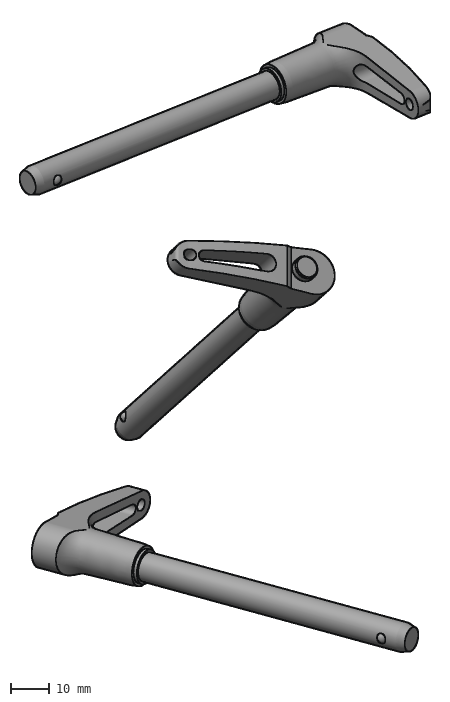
import cadquery as cq
import math

total_length = 114.3

pin_radius = 4.0
tip_radius = 3.3
tip_length = 2.4
ball_radius = 1.5
ball_offset = 3.3
ball_y = 6.9

collar_radius = 4.7
collar_start = 82.2
sleeve_start = 83.2
sleeve_end_radius = 5.5
sleeve_bevel_end = 85.3
sleeve_lower_radius = 5.7
sleeve_upper_radius = 6.1
sleeve_top = 99.3
flare_radius = 6.0

button_radius = 3.2
button_bevel = 0.3

handle_length = 44.1
head_width = 12.7
head_radius = head_width / 2
end_radius = 4.0
end_x = 31.1
head_x = end_x + end_radius - handle_length + head_radius
handle_left = head_x - head_radius
handle_right = end_x + end_radius

head_top = 112.0
flat_end_x = 3.4
hump_x = 5.0
hump_top = 112.8
crown_mid = (18.6, 111.5)
crown_end = (31.4, 108.8)
tip_top = 108.2
tip_bottom = 103.4
tip_lean = 0.3
tip_corner_radius = 1.1

slot_inner_radius = 2.5
slot_inner_x = 10.6
slot_outer_radius = 1.6
slot_outer_x = 27.2
hole_radius = 1.6

flare_x = sleeve_upper_radius + flare_radius
underside_y = sleeve_top + flare_radius


def tapered_link(x_a, radius_a, x_b, radius_b):
    """Solid along Y bounded by two circles on the X axis and their outer tangents."""
    sine = (radius_a - radius_b) / (x_b - x_a)
    cosine = math.sqrt(1 - sine**2)
    a_x, a_z = x_a + radius_a * sine, radius_a * cosine
    b_x, b_z = x_b + radius_b * sine, radius_b * cosine
    return (
        cq.Workplane("XZ")
        .moveTo(a_x, -a_z)
        .lineTo(b_x, -b_z)
        .threePointArc((x_b + radius_b, 0), (b_x, b_z))
        .lineTo(a_x, a_z)
        .threePointArc((x_a - radius_a, 0), (a_x, -a_z))
        .close()
        .extrude(-total_length)
    )


def turned(profile):
    """Revolve a closed half profile in XY about the pin axis."""
    return profile.close().revolve(360, (0, 0, 0), (0, 1, 0))


def make_pin():
    pin = turned(
        cq.Workplane("XY")
        .lineTo(tip_radius, 0)
        .lineTo(pin_radius, tip_length)
        .lineTo(pin_radius, sleeve_top)
        .lineTo(0, sleeve_top)
    )
    for side in (-1, 1):
        pin = pin.union(cq.Workplane("XY").sphere(ball_radius).translate((side * ball_offset, ball_y, 0)))
    return pin


def make_sleeve():
    diagonal = flare_radius * math.sqrt(0.5)
    return turned(
        cq.Workplane("XY")
        .moveTo(0, collar_start)
        .lineTo(collar_radius, collar_start)
        .lineTo(collar_radius, sleeve_start)
        .lineTo(sleeve_end_radius, sleeve_start)
        .lineTo(sleeve_lower_radius, sleeve_bevel_end)
        .lineTo(sleeve_upper_radius, sleeve_top)
        .threePointArc((flare_x - diagonal, sleeve_top + diagonal), (flare_x, underside_y))
        .lineTo(0, underside_y)
    )


def make_button():
    return turned(
        cq.Workplane("XY")
        .moveTo(0, sleeve_top)
        .lineTo(button_radius, sleeve_top)
        .lineTo(button_radius, total_length - button_bevel)
        .lineTo(button_radius - button_bevel, total_length)
        .lineTo(0, total_length)
    )


def make_lever():
    """Handle side profile, extruded to the full width of the head."""
    return (
        cq.Workplane("XY")
        .moveTo(handle_left, underside_y)
        .lineTo(handle_left, head_top)
        .lineTo(flat_end_x, head_top)
        .lineTo(hump_x, hump_top)
        .threePointArc(crown_mid, crown_end)
        .lineTo(handle_right - tip_lean, tip_top)
        .lineTo(handle_right, tip_bottom)
        .lineTo(flare_x, underside_y)
        .close()
        .extrude(head_radius, both=True)
        .edges(cq.selectors.NearestToPointSelector((handle_right - tip_lean, tip_top, 0)))
        .fillet(tip_corner_radius)
    )


def make_handle():
    """Lever and flared sleeve, both trimmed to the tapered planform."""
    planform = tapered_link(head_x, head_radius, end_x, end_radius)
    return make_lever().union(make_sleeve()).intersect(planform)


slot = tapered_link(slot_inner_x, slot_inner_radius, slot_outer_x, slot_outer_radius)
hole = cq.Workplane("XZ").center(end_x, 0).circle(hole_radius).extrude(-total_length)

handle = make_handle().cut(slot).cut(hole)
result = handle.union(make_pin()).union(make_button())